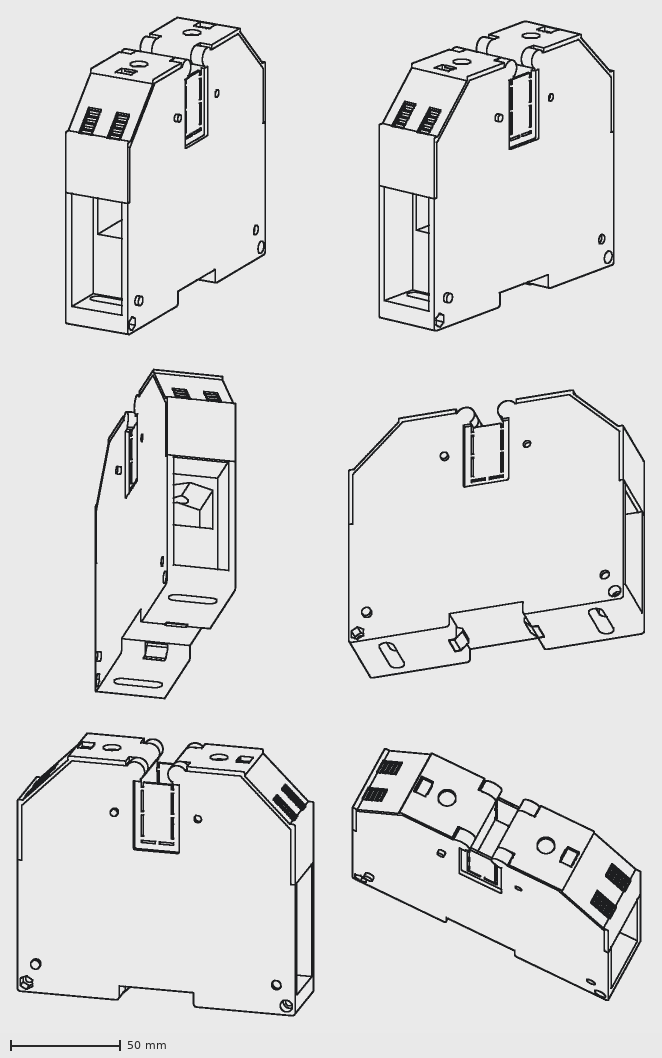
import cadquery as cq
import math

LENGTH = 132.0
WIDTH = 32.5
WIDTH_OVER_PEGS = 36.0
HEIGHT = 116.7
HALF_LENGTH = LENGTH / 2
HALF_WIDTH = WIDTH / 2
BOTTOM_CORNER_RADIUS = 1.6

COVER_FRONT_THICKNESS = 2.0
COVER_TOP_THICKNESS = 2.2
COVER_SLOPE_RISE = 2.2
COVER_BOTTOM_Z = 63.9
COVER_SHELF_Z = 93.2
COVER_SHELF_Y = 63.5
COVER_TOP_EDGE_Y = 42.0
COVER_EDGE_RADIUS = 0.8
SLOPE_SUM = COVER_SHELF_Y + COVER_SHELF_Z
INNER_SLOPE_SUM = SLOPE_SUM - COVER_SLOPE_RISE
COVER_FRONT_INNER_Y = HALF_LENGTH - COVER_FRONT_THICKNESS
COVER_SEAT_Z = HEIGHT - COVER_TOP_THICKNESS

HINGE_RADIUS = 4.5
HINGE_Y = 10.0
HINGE_Z = HEIGHT - HINGE_RADIUS
LUG_WIDTH = 6.1
KNUCKLE_WIDTH = WIDTH - 2 * LUG_WIDTH
LUG_NOTCH_Y = 14.5

SCREW_HOLE_DIAMETER = 8.0
SCREW_HOLE_Y = 25.5
WINDOW_WIDTH = 8.0
WINDOW_NEAR_Y = 34.7
WINDOW_FAR_Y = 40.7
WINDOW_LIP_WIDTH = 5.0
WINDOW_LIP_Y = 34.3
WINDOW_LIP_DEPTH = 1.0
VENT_WIDTH = 6.5
VENT_X = 7.4
VENT_TOP_Y = 54.1
VENT_LOW_Y = 63.9
VENT_DROP = 0.9
NOTCH_COUNT = 4
NOTCH_LENGTH = 1.8
NOTCH_WIDTH = 5.4
NOTCH_FLOOR_ANGLE = 25.0

CHANNEL_HALF = 7.7
CHANNEL_FLOOR_Z = 77.1
RECESS_HALF = 10.8
RECESS_BOTTOM_Z = 73.9
RECESS_TOP_Z = 107.3
RECESS_DEPTH = 1.8
RECESS_CORNER_RADIUS = 0.9
PANEL_THICKNESS = 1.0
PANEL_TOP_Z = 106.3
SLIT_WIDTH = 1.0
SIDE_SLIT_SPANS = [(80.1, 90.4), (92.1, 102.3), (104.0, PANEL_TOP_Z)]
BOTTOM_SLIT_BRIDGE = 2.0

ENTRY_WIDTH = 26.1
ENTRY_DEPTH = 20.7
ENTRY_FLOOR_Z = 9.2
CLAMP_WIDTH = 21.6
CLAMP_BOTTOM_Z = 38.4
CLAMP_SHOULDER_Z = 57.5
CLAMP_PEAK_Z = 60.3
FLOOR_SLOT_LENGTH = 22.7
FLOOR_SLOT_WIDTH = 6.9
FLOOR_SLOT_Y = 50.3

RAIL_HALF = 17.7
RAIL_HEIGHT = 6.9
CLAW_WIDTH = 9.9
CLAW_DROP = 0.4
CLAW_HEEL_Y = 21.4
CLAW_TOE_Y = 18.6
CLAW_TIP_Y = 14.8
CLAW_TIP_LOW_Z = CLAW_TOE_Y - CLAW_TIP_Y - CLAW_DROP
CLAW_TIP_HIGH_Z = 5.0
CLAW_ROOT_Z = 6.2

PEGS = [(19.7, 91.6, 3.4), (57.0, 14.3, 4.4)]
PEG_LENGTH = (WIDTH_OVER_PEGS - WIDTH) / 2
BOLT_Y = 61.8
BOLT_Z = 4.5
BOLT_DIAMETER = 3.4
BOLT_HEAD_DIAMETER = 5.7
NUT_SIDES = 6
NUT_ACROSS_CORNERS = 6.6
BOLT_SEAT_DEPTH = 5.3


def box(x_span, y_span, z_span):
    """Box given by its limits along each axis."""
    size = [high - low for low, high in (x_span, y_span, z_span)]
    return cq.Workplane("XY").box(*size, centered=False).translate((x_span[0], y_span[0], z_span[0]))


def along_x(points, width):
    """Closed (y, z) outline extruded along X, centred on the middle plane."""
    return cq.Workplane("YZ").polyline(points).close().extrude(width / 2, both=True)


def rod(y, z, diameter, x_start, x_end):
    """Cylinder along X."""
    plane = cq.Workplane("YZ", origin=(x_start, y, z))
    return plane.circle(diameter / 2).extrude(x_end - x_start)


def turned(shape):
    """The same shape at the other end of the part, half a turn about Z."""
    return shape.rotate((0, 0, 0), (0, 0, 1), 180)


def both_ends(shape):
    return shape.union(turned(shape))


def mirrored_outline(half):
    """Complete an outline from its +Y half."""
    return half + [(-y, z) for y, z in reversed(half)]


def hinge_cylinder(width, x_middle):
    """Length of the +Y hinge cylinder."""
    return rod(HINGE_Y, HINGE_Z, 2 * HINGE_RADIUS, x_middle - width / 2, x_middle + width / 2)


def knuckle():
    """Middle length of the +Y hinge, which belongs to the cover."""
    return hinge_cylinder(KNUCKLE_WIDTH, 0)


def vent():
    """Sunk panel in the +Y slope with a row of sawtooth notches in its floor."""
    floor_sum = SLOPE_SUM - VENT_DROP
    panel = along_x(
        [
            (VENT_LOW_Y, floor_sum - VENT_LOW_Y),
            (VENT_LOW_Y, SLOPE_SUM - VENT_TOP_Y),
            (VENT_TOP_Y, SLOPE_SUM - VENT_TOP_Y),
            (VENT_TOP_Y, floor_sum - VENT_TOP_Y),
        ],
        VENT_WIDTH,
    )
    pitch = (VENT_LOW_Y - VENT_TOP_Y) / NOTCH_COUNT
    root_fall = NOTCH_LENGTH * (1 + math.tan(math.radians(NOTCH_FLOOR_ANGLE)))
    for index in range(NOTCH_COUNT):
        riser_y = VENT_TOP_Y + index * pitch + (pitch - NOTCH_LENGTH) / 2
        edge_y = riser_y + NOTCH_LENGTH
        top_z = floor_sum - riser_y
        profile = [(riser_y, top_z), (riser_y, top_z - root_fall), (edge_y, floor_sum - edge_y)]
        panel = panel.union(along_x(profile, NOTCH_WIDTH))
    return panel


def vents():
    """Pair of vents side by side in the +Y slope."""
    return vent().translate((VENT_X, 0, 0)).union(vent().translate((-VENT_X, 0, 0)))


def screw_hole():
    """Hole from the flat top down into the clamp pocket."""
    depth = HEIGHT - CLAMP_BOTTOM_Z
    plane = cq.Workplane("XY", origin=(0, SCREW_HOLE_Y, CLAMP_BOTTOM_Z))
    return plane.circle(SCREW_HOLE_DIAMETER / 2).extrude(depth)


def make_cover():
    """Cover at the +Y end."""
    cover = along_x(
        [
            (COVER_FRONT_INNER_Y, COVER_BOTTOM_Z),
            (HALF_LENGTH, COVER_BOTTOM_Z),
            (HALF_LENGTH, COVER_SHELF_Z),
            (COVER_SHELF_Y, COVER_SHELF_Z),
            (COVER_TOP_EDGE_Y, SLOPE_SUM - COVER_TOP_EDGE_Y),
            (COVER_TOP_EDGE_Y, HEIGHT),
            (HINGE_Y, HEIGHT),
            (HINGE_Y, COVER_SEAT_Z),
            (INNER_SLOPE_SUM - COVER_SEAT_Z, COVER_SEAT_Z),
            (COVER_FRONT_INNER_Y, INNER_SLOPE_SUM - COVER_FRONT_INNER_Y),
        ],
        WIDTH,
    )
    for edge_y, edge_z in [(HALF_LENGTH, COVER_SHELF_Z), (COVER_TOP_EDGE_Y, HEIGHT)]:
        outer_edge = cq.selectors.NearestToPointSelector((0, edge_y, edge_z))
        cover = cover.edges(outer_edge).fillet(COVER_EDGE_RADIUS)
    lug_clearance = box((KNUCKLE_WIDTH / 2, HALF_WIDTH), (0, LUG_NOTCH_Y), (COVER_SEAT_Z, HEIGHT))
    cover = cover.cut(lug_clearance).cut(lug_clearance.mirror("YZ")).union(knuckle())
    window = box(
        (-WINDOW_WIDTH / 2, WINDOW_WIDTH / 2), (WINDOW_NEAR_Y, WINDOW_FAR_Y), (COVER_SEAT_Z, HEIGHT)
    )
    half_lip = WINDOW_LIP_WIDTH / 2
    lip = box((-half_lip, half_lip), (WINDOW_LIP_Y, WINDOW_NEAR_Y), (HEIGHT - WINDOW_LIP_DEPTH, HEIGHT))
    return cover.cut(window).cut(lip).cut(screw_hole()).cut(vents())


def housing_block():
    """Plain block with the seats of the covers, the rail gap and rounded bottom corners."""
    half = [
        (RAIL_HALF, RAIL_HEIGHT),
        (RAIL_HALF, 0),
        (HALF_LENGTH, 0),
        (HALF_LENGTH, COVER_BOTTOM_Z),
        (COVER_FRONT_INNER_Y, COVER_BOTTOM_Z),
        (COVER_FRONT_INNER_Y, INNER_SLOPE_SUM - COVER_FRONT_INNER_Y),
        (INNER_SLOPE_SUM - COVER_SEAT_Z, COVER_SEAT_Z),
    ]
    block = along_x(mirrored_outline(half), WIDTH)
    return block.edges("|X and <Z").fillet(BOTTOM_CORNER_RADIUS)


def channel():
    """Space between the hinges, inside and above the side panels."""
    inside = HALF_WIDTH - RECESS_DEPTH - PANEL_THICKNESS
    across = (-CHANNEL_HALF, CHANNEL_HALF)
    gap = box((-inside, inside), across, (CHANNEL_FLOOR_Z, HEIGHT))
    return gap.union(box((-HALF_WIDTH, HALF_WIDTH), across, (PANEL_TOP_Z, HEIGHT)))


def panel_recess():
    """Shallow recess in the +X face, outside the panel."""
    recess = box(
        (HALF_WIDTH - RECESS_DEPTH, HALF_WIDTH), (-RECESS_HALF, RECESS_HALF), (RECESS_BOTTOM_Z, RECESS_TOP_Z)
    )
    return recess.edges("|X and <Z").fillet(RECESS_CORNER_RADIUS)


def panel_slits():
    """Slits on the +Y half that leave the panels hanging on narrow bridges."""
    across = (-HALF_WIDTH, HALF_WIDTH)
    slits = box(
        across, (BOTTOM_SLIT_BRIDGE / 2, CHANNEL_HALF), (CHANNEL_FLOOR_Z, CHANNEL_FLOOR_Z + SLIT_WIDTH)
    )
    for span in SIDE_SLIT_SPANS:
        slits = slits.union(box(across, (CHANNEL_HALF - SLIT_WIDTH, CHANNEL_HALF), span))
    return slits


def wire_entry():
    """Entry at the +Y end with the clamp pocket behind it and a slot in its floor."""
    back_y = HALF_LENGTH - ENTRY_DEPTH
    half_entry = ENTRY_WIDTH / 2
    half_clamp = CLAMP_WIDTH / 2
    entry = box((-half_entry, half_entry), (back_y, HALF_LENGTH), (ENTRY_FLOOR_Z, COVER_BOTTOM_Z))
    clamp_end_y = SCREW_HOLE_Y - SCREW_HOLE_DIAMETER / 2
    clamp = (
        cq.Workplane("XZ", origin=(0, back_y, 0))
        .polyline(
            [
                (-half_clamp, CLAMP_BOTTOM_Z),
                (half_clamp, CLAMP_BOTTOM_Z),
                (half_clamp, CLAMP_SHOULDER_Z),
                (0, CLAMP_PEAK_Z),
                (-half_clamp, CLAMP_SHOULDER_Z),
            ]
        )
        .close()
        .extrude(back_y - clamp_end_y)
    )
    slot = (
        cq.Workplane("XY", origin=(0, FLOOR_SLOT_Y, 0))
        .slot2D(FLOOR_SLOT_LENGTH, FLOOR_SLOT_WIDTH)
        .extrude(ENTRY_FLOOR_Z)
    )
    return entry.union(clamp).union(slot)


def rail_claw():
    """Claw at the +Y side of the rail gap."""
    return along_x(
        [
            (CLAW_HEEL_Y, CLAW_ROOT_Z),
            (CLAW_HEEL_Y, -CLAW_DROP),
            (CLAW_TOE_Y, -CLAW_DROP),
            (CLAW_TIP_Y, CLAW_TIP_LOW_Z),
            (CLAW_TIP_Y, CLAW_TIP_HIGH_Z),
            (RAIL_HALF, CLAW_ROOT_Z),
        ],
        CLAW_WIDTH,
    )


def bolt_hole():
    """Through hole at the +Y end with a nut seat on the -X side and a head seat on the +X side."""
    hole = rod(BOLT_Y, BOLT_Z, BOLT_DIAMETER, -HALF_WIDTH, HALF_WIDTH)
    head_seat = rod(BOLT_Y, BOLT_Z, BOLT_HEAD_DIAMETER, HALF_WIDTH - BOLT_SEAT_DEPTH, HALF_WIDTH)
    nut_seat = (
        cq.Workplane("YZ", origin=(-HALF_WIDTH, BOLT_Y, BOLT_Z))
        .transformed(rotate=(0, 0, 90))
        .polygon(NUT_SIDES, NUT_ACROSS_CORNERS)
        .extrude(BOLT_SEAT_DEPTH)
    )
    return hole.union(head_seat).union(nut_seat)


def make_housing():
    housing = housing_block().cut(channel())
    housing = housing.cut(both_ends(panel_recess())).cut(both_ends(panel_slits()))
    lug_middle = HALF_WIDTH - LUG_WIDTH / 2
    for x_middle in (-lug_middle, lug_middle):
        housing = housing.union(both_ends(hinge_cylinder(LUG_WIDTH, x_middle)))
    for cutter in (knuckle(), screw_hole(), vents(), wire_entry(), bolt_hole()):
        housing = housing.cut(both_ends(cutter))
    housing = housing.union(both_ends(rail_claw()))
    for y, z, diameter in PEGS:
        peg = rod(y, z, diameter, -HALF_WIDTH - PEG_LENGTH, -HALF_WIDTH)
        socket = rod(y, z, diameter, HALF_WIDTH - PEG_LENGTH, HALF_WIDTH)
        housing = housing.union(both_ends(peg)).cut(both_ends(socket))
    return housing


housing = make_housing()
back_cover = make_cover()
covers = [back_cover, turned(back_cover)]

result = cq.Compound.makeCompound([housing.val(), *[cover.val() for cover in covers]])